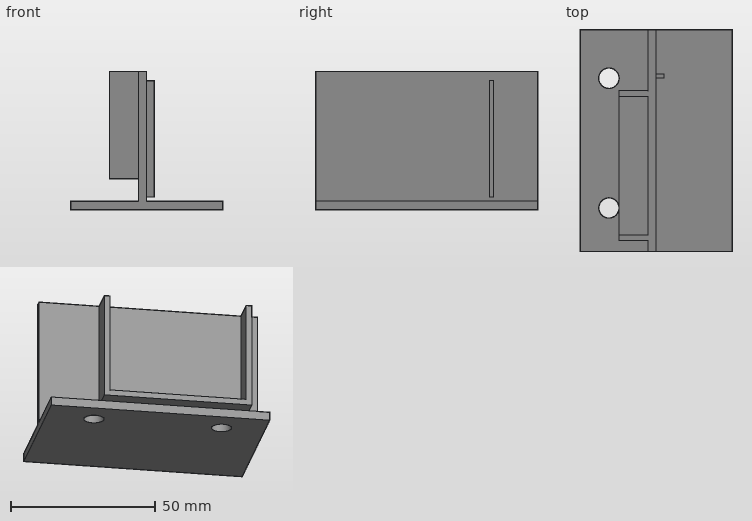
import cadquery as cq

base_width = 52.85
length = 77.05
height = 48.0
base_thickness = 3.0

wall_x = 23.5
wall_thickness = 2.85
wall_back_x = wall_x + wall_thickness

holder_depth = 10.0
holder_y = 3.85
holder_length = 52.0
holder_z = 10.8
holder_wall = 2.0

rib_depth = 2.7
rib_y = 60.25
rib_thickness = 1.5
rib_z = 4.4
rib_top_z = 44.8

hole_x = 10.0
front_hole_y = 15.2
front_hole_diameter = 6.9
rear_hole_y = 60.2
rear_hole_diameter = 7.0


def block(x, y, z, size_x, size_y, size_z):
    """Box placed by its lowest corner."""
    return cq.Workplane("XY").box(size_x, size_y, size_z, centered=False).translate((x, y, z))


def make_base():
    base = block(0, 0, 0, base_width, length, base_thickness)
    holes = ((front_hole_y, front_hole_diameter), (rear_hole_y, rear_hole_diameter))
    for hole_y, diameter in holes:
        hole = cq.Workplane("XY").center(hole_x, hole_y).circle(diameter / 2).extrude(base_thickness)
        base = base.cut(hole)
    return base


def make_holder():
    holder_x = wall_x - holder_depth
    holder_height = height - holder_z
    outer = block(holder_x, holder_y, holder_z, holder_depth, holder_length, holder_height)
    opening = block(
        holder_x,
        holder_y + holder_wall,
        holder_z + holder_wall,
        holder_depth,
        holder_length - 2 * holder_wall,
        holder_height - holder_wall,
    )
    return outer.cut(opening)


wall = block(wall_x, 0, 0, wall_thickness, length, height)
rib = block(wall_back_x, rib_y, rib_z, rib_depth, rib_thickness, rib_top_z - rib_z)

result = make_base().union(wall).union(make_holder()).union(rib)